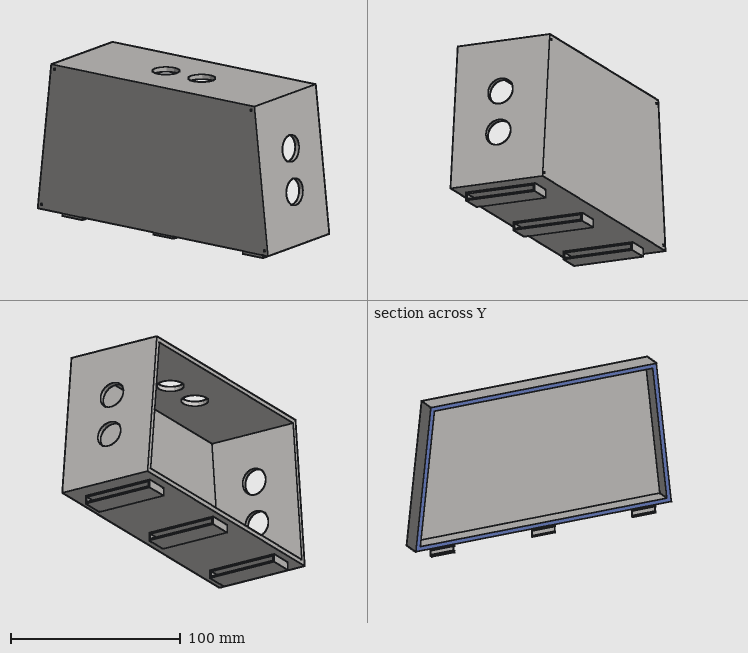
import cadquery as cq
import math

bottom_length = 170.0
top_length = 150.0
housing_height = 90.0
housing_depth = 60.0
wall = 3.0
front_y = -housing_depth / 2
back_y = housing_depth / 2
side_run = (bottom_length - top_length) / 2
side_slope = side_run / housing_height

opening_diameter = 16.0
top_opening_pitch = 26.4
top_opening_x = 0.5
top_opening_y = -0.3
side_opening_pitch = 26.2
side_opening_z = 44.9
left_opening_y = 0.5
right_opening_y = 0.8

screw_hole_diameter = 1.0
top_screw_x = 72.5
top_screw_z = 87.3
bottom_screw_x = 82.2
bottom_screw_z = 2.9

loop_width = 15.0
loop_length = 45.0
loop_height = 5.0
loop_wall = 1.0
loop_gap = 0.19
loop_pitch = 66.75
loop_row_x = -0.1
loop_centers_y = (2.5, 3.1, 1.9)


def trapezoid_prism(inset, start_y, end_y):
    """Prism along Y with the housing's outline, each side moved inward by inset."""
    side_shift = inset * math.hypot(1, side_slope)
    low_x = bottom_length / 2 - side_shift - inset * side_slope
    high_x = top_length / 2 - side_shift + inset * side_slope
    low_z = inset
    high_z = housing_height - inset
    corners = [(-low_x, low_z), (low_x, low_z), (high_x, high_z), (-high_x, high_z)]
    return cq.Workplane("XZ", origin=(0, start_y, 0)).polyline(corners).close().extrude(start_y - end_y)


def make_top_openings():
    return (
        cq.Workplane("XY", origin=(top_opening_x, top_opening_y, housing_height - wall))
        .rarray(top_opening_pitch, 1, 2, 1)
        .circle(opening_diameter / 2)
        .extrude(wall)
    )


def make_side_openings(side, center_y):
    """Pair of cylinders square to one sloping side; side is -1 for -X and 1 for +X."""
    face_x = bottom_length / 2 - side_opening_z * side_slope
    face = cq.Plane(
        origin=(side * face_x, center_y, side_opening_z),
        xDir=(0, 1, 0),
        normal=(side, 0, side_slope),
    )
    return (
        cq.Workplane(face)
        .rarray(1, side_opening_pitch, 1, 2)
        .circle(opening_diameter / 2)
        .extrude(-wall)
    )


def make_screw_holes():
    centers = []
    for side in (-1, 1):
        centers.append((side * top_screw_x, top_screw_z))
        centers.append((side * bottom_screw_x, bottom_screw_z))
    return (
        cq.Workplane("XZ", origin=(0, front_y, 0))
        .pushPoints(centers)
        .circle(screw_hole_diameter / 2)
        .extrude(-wall)
    )


def make_housing():
    outside = trapezoid_prism(0, front_y, back_y)
    cavity = trapezoid_prism(wall, front_y + wall, back_y)
    return (
        outside.cut(cavity)
        .cut(make_top_openings())
        .cut(make_side_openings(-1, left_opening_y))
        .cut(make_side_openings(1, right_opening_y))
        .cut(make_screw_holes())
    )


def make_loop(center_x, center_y):
    """Flat rectangular ring, open along X."""
    center_z = -loop_gap - loop_height / 2
    return (
        cq.Workplane("YZ", origin=(center_x - loop_width / 2, center_y, center_z))
        .rect(loop_length, loop_height)
        .rect(loop_length - 2 * loop_wall, loop_height - 2 * loop_wall)
        .extrude(loop_width)
    )


housing = make_housing()

loops = []
for place, loop_y in zip((-1, 0, 1), loop_centers_y):
    loops.append(make_loop(loop_row_x + place * loop_pitch, loop_y))

result = cq.Compound.makeCompound([housing.val(), *[loop.val() for loop in loops]])